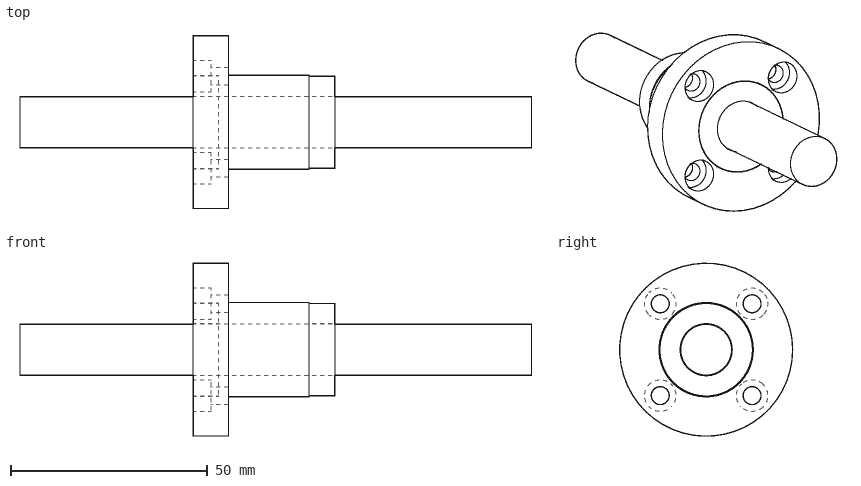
import cadquery as cq

SHAFT_LENGTH = 130.0
SHAFT_DIAMETER = 13.0

NUT_START = 44.0
NUT_ASSEMBLY_LENGTH = 36.0
FLANGE_THICKNESS = 9.0
FLANGE_DIAMETER = 44.0
SLEEVE_DIAMETER = 24.0
NUT_BORE_DIAMETER = 13.15

BOLT_COUNT = 4
BOLT_CIRCLE_DIAMETER = 33.0
FIRST_BOLT_ANGLE = 45.0
BOLT_HOLE_DIAMETER = 4.5
COUNTERBORE_DIAMETER = 8.0
COUNTERBORE_DEPTH = 4.5

SEAL_LENGTH = 6.5
SEAL_BORE_DIAMETER = 13.2
SEAL_DIAMETER = 23.5
SEAL_RECESS_DIAMETER = 23.7

FLANGE_END = NUT_START + FLANGE_THICKNESS
NUT_ASSEMBLY_END = NUT_START + NUT_ASSEMBLY_LENGTH
REAR_SEAL_START = NUT_ASSEMBLY_END - SEAL_LENGTH


def section(x):
    """Sketch plane across the shaft axis at x, facing +X."""
    return cq.Workplane("YZ", origin=(x, 0, 0))


def cylinder(diameter, start, end):
    """Cylinder on the shaft axis between two X positions."""
    return section(start).circle(diameter / 2).extrude(end - start)


def bolt_cylinders(diameter, depth):
    """One cylinder per bolt, entering the flange from its outer face."""
    return (
        section(NUT_START)
        .polarArray(BOLT_CIRCLE_DIAMETER / 2, FIRST_BOLT_ANGLE, 360, BOLT_COUNT)
        .circle(diameter / 2)
        .extrude(depth)
    )


def make_shaft():
    return cylinder(SHAFT_DIAMETER, 0, SHAFT_LENGTH)


def make_nut():
    flange = cylinder(FLANGE_DIAMETER, NUT_START, FLANGE_END)
    sleeve = cylinder(SLEEVE_DIAMETER, FLANGE_END, REAR_SEAL_START)
    bore = cylinder(NUT_BORE_DIAMETER, NUT_START, REAR_SEAL_START)
    seal_recess = cylinder(SEAL_RECESS_DIAMETER, NUT_START, NUT_START + SEAL_LENGTH)
    bolt_holes = bolt_cylinders(BOLT_HOLE_DIAMETER, FLANGE_THICKNESS)
    counterbores = bolt_cylinders(COUNTERBORE_DIAMETER, COUNTERBORE_DEPTH)
    body = flange.union(sleeve)
    return body.cut(bore).cut(seal_recess).cut(bolt_holes).cut(counterbores)


def make_seal(start):
    end = start + SEAL_LENGTH
    return cylinder(SEAL_DIAMETER, start, end).cut(cylinder(SEAL_BORE_DIAMETER, start, end))


shaft = make_shaft()
nut = make_nut()
seals = [make_seal(start) for start in (NUT_START, REAR_SEAL_START)]

result = cq.Compound.makeCompound([shaft.val(), nut.val(), *[seal.val() for seal in seals]])